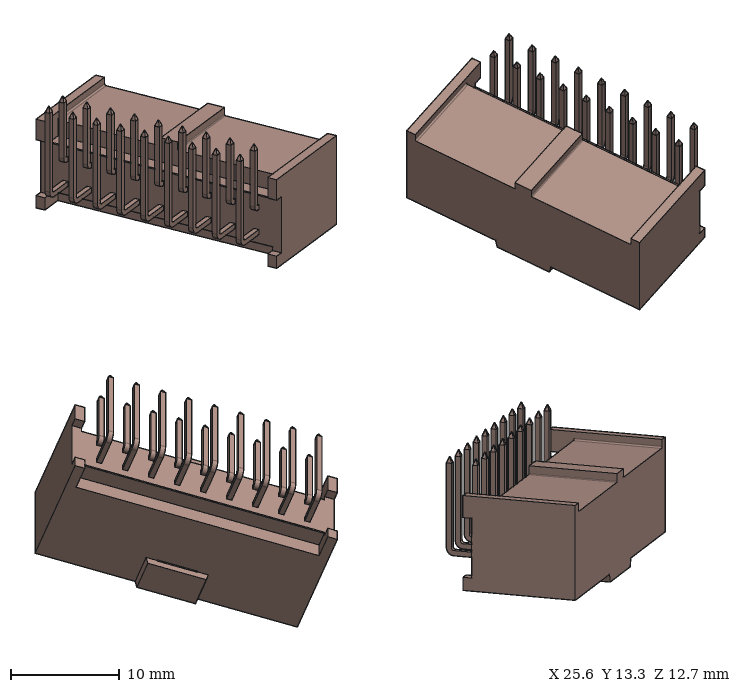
import cadquery as cq


length = 25.58
end_wall_thickness = 0.95
end_wall_depth = 10.9
end_wall_height = 9.03
back_depth = 10.05
notch_bottom = 1.25
notch_top = 6.93
roof_depth = 8.55
roof_height = 8.2
pin_block_bottom = 1.59
ledge_top = 6.57
ledge_chamfer = 0.08
wall_foot_radius = 0.15

rib_width = 1.8
rib_foot_radius = 0.08

latch_height = 0.8
latch_depth = 3.0
latch_top_width = 6.05
latch_bottom_width = 5.73
latch_foot_width = 3.9
latch_foot_size = 0.08

pins_per_row = 9
row_length = 20.3
pin_pitch = row_length / (pins_per_row - 1)
pin_size = 0.5
pin_embedding = 1.02
tip_length = 0.55
tip_flat = 0.05
pin_top = 11.87
outer_pin_reach = 13.33
outer_pin_bottom = 2.53
outer_bend_radius = 0.25
inner_pin_reach = outer_pin_reach - pin_pitch
inner_pin_bottom = outer_pin_bottom + pin_pitch
inner_bend_radius = 0.05


def block(width, depth, bottom, top):
    """Box centred on X that runs back from the mating face."""
    box = cq.Workplane("XY").box(width, depth, top - bottom, centered=(True, False, False))
    return box.translate((0, -depth, bottom))


def make_end_wall(side):
    outline = [
        (0, 0),
        (-end_wall_depth, 0),
        (-end_wall_depth, notch_bottom),
        (-back_depth, notch_bottom),
        (-back_depth, notch_top),
        (-end_wall_depth, notch_top),
        (-end_wall_depth, end_wall_height),
        (0, end_wall_height),
    ]
    center_x = side * (length - end_wall_thickness) / 2
    wall = cq.Workplane("YZ").polyline(outline).close().extrude(end_wall_thickness / 2, both=True)
    return wall.translate((center_x, 0, 0))


def make_foot_fillet(wall_x, side, radius):
    """Concave strip where an upright face at wall_x meets the roof; side is the way it spreads in X."""
    return (
        cq.Workplane("XZ")
        .moveTo(wall_x, roof_height)
        .lineTo(wall_x, roof_height + radius)
        .radiusArc((wall_x + side * radius, roof_height), -side * radius)
        .close()
        .extrude(roof_depth)
    )


def make_housing():
    inner_length = length - 2 * end_wall_thickness
    pin_block = block(inner_length, back_depth, pin_block_bottom, ledge_top)
    pin_block = pin_block.faces("<Y").edges("|X").chamfer(ledge_chamfer)
    housing = pin_block.union(block(inner_length, roof_depth, 0, roof_height))
    housing = housing.union(block(rib_width, roof_depth, ledge_top, end_wall_height))
    for side in (-1, 1):
        housing = housing.union(make_end_wall(side))
        housing = housing.union(make_foot_fillet(side * inner_length / 2, -side, wall_foot_radius))
        housing = housing.union(make_foot_fillet(side * rib_width / 2, side, rib_foot_radius))
    return housing


def make_latch():
    outline = [
        (-latch_top_width / 2, 0),
        (-latch_bottom_width / 2, -latch_height),
        (latch_bottom_width / 2, -latch_height),
        (latch_top_width / 2, 0),
    ]
    latch = cq.Workplane("XZ").polyline(outline).close().extrude(latch_depth)
    foot_outline = [
        (-latch_depth, 0),
        (-latch_depth - latch_foot_size, 0),
        (-latch_depth, -latch_foot_size),
    ]
    foot = cq.Workplane("YZ").polyline(foot_outline).close().extrude(latch_foot_width / 2, both=True)
    return latch.union(foot)


def make_pin(reach, bottom, bend_radius):
    """Square pin at X = 0 that leaves the housing, bends upward and ends in a pointed tip."""
    outer_radius = bend_radius + pin_size
    shoulder = pin_top - tip_length
    buried_end = pin_embedding - back_depth
    shank = (
        cq.Workplane("YZ")
        .moveTo(buried_end, bottom)
        .lineTo(outer_radius - reach, bottom)
        .radiusArc((-reach, bottom + outer_radius), outer_radius)
        .lineTo(-reach, shoulder)
        .lineTo(pin_size - reach, shoulder)
        .lineTo(pin_size - reach, bottom + outer_radius)
        .radiusArc((outer_radius - reach, bottom + pin_size), -bend_radius)
        .lineTo(buried_end, bottom + pin_size)
        .close()
        .extrude(pin_size / 2, both=True)
    )
    tip = (
        cq.Workplane("XY", origin=(0, pin_size / 2 - reach, shoulder))
        .rect(pin_size, pin_size)
        .workplane(offset=tip_length)
        .rect(tip_flat, tip_flat)
        .loft()
    )
    return shank.union(tip)


result = make_housing().union(make_latch())
outer_pin = make_pin(outer_pin_reach, outer_pin_bottom, outer_bend_radius)
inner_pin = make_pin(inner_pin_reach, inner_pin_bottom, inner_bend_radius)
for index in range(pins_per_row):
    pin_x = index * pin_pitch - row_length / 2
    for pin in (outer_pin, inner_pin):
        result = result.union(pin.translate((pin_x, 0, 0)))